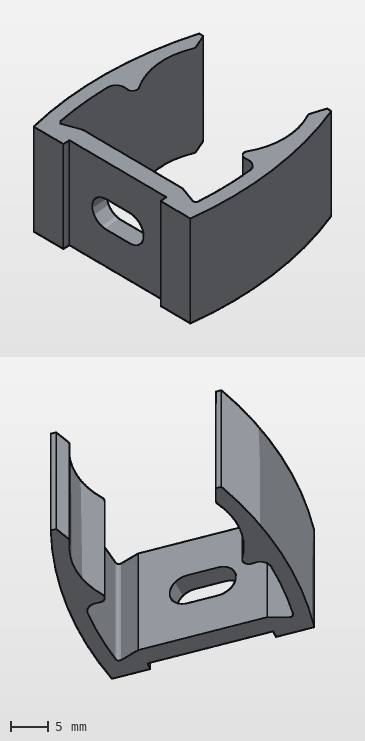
import cadquery as cq
import math

HEIGHT = 18.0
DEPTH = 30.0
HALF_WIDTH = 15.5

ARM_RADIUS = 59.0
ARM_CENTER_X = HALF_WIDTH - ARM_RADIUS
WIDEST_Y = 10.7
WALL = 2.3
INNER_RADIUS = ARM_RADIUS - WALL

RECESS_HALF_WIDTH = 9.0
RECESS_DEPTH = 1.15
FLOOR_Y = 4.05
FLOOR_HALF_WIDTH = 9.25
FLOOR_SLOPE = math.radians(20)
FLOOR_CORNER_RADIUS = 0.5

SEAT_RADIUS = 11.75
SEAT_Y = 22.0
BEAD_Y = 14.4
BEAD_RADIUS = 0.9
LEDGE_WALL_Y = 14.7
LEDGE_RADIUS = 1.6

TIP_INNER_X = 11.45
LIP_Y = 27.35
LIP_RADIUS = 0.7

SLOT_LENGTH = 9.5
SLOT_WIDTH = 5.2


def arc_x(radius, center_x, center_y, y):
    """X of the +X side of a circle at the given Y."""
    return center_x + math.sqrt(radius**2 - (y - center_y) ** 2)


def outer_point(y):
    """Point on the outer face of the +X arm."""
    return (arc_x(ARM_RADIUS, ARM_CENTER_X, WIDEST_Y, y), y)


def inner_point(y):
    """Point on the inner face of the +X arm."""
    return (arc_x(INNER_RADIUS, ARM_CENTER_X, WIDEST_Y, y), y)


def seat_point(y):
    """Point on the +X side of the tube seat."""
    return (arc_x(SEAT_RADIUS, 0, SEAT_Y, y), y)


def floor_corner():
    """Point where the sloping floor meets the arc of the inner wall."""
    start_x = FLOOR_HALF_WIDTH - ARM_CENTER_X
    start_y = FLOOR_Y - WIDEST_Y
    dir_x = math.cos(FLOOR_SLOPE)
    dir_y = -math.sin(FLOOR_SLOPE)
    along = start_x * dir_x + start_y * dir_y
    length = -along + math.sqrt(along**2 - start_x**2 - start_y**2 + INNER_RADIUS**2)
    return (FLOOR_HALF_WIDTH + length * dir_x, FLOOR_Y + length * dir_y)


def round_corner(body, corner, radius):
    """Fillet the vertical edge that stands on the given profile corner."""
    edge = cq.selectors.NearestToPointSelector((corner[0], corner[1], 0))
    return body.edges("|Z").edges(edge).fillet(radius)


def half_clip():
    """The +X half of the clip, with its inside corners rounded."""
    corner = floor_corner()
    ledge = inner_point(LEDGE_WALL_Y)
    bead = seat_point(BEAD_Y)
    lip = seat_point(LIP_Y)
    body = (
        cq.Workplane("XY")
        .workplane(offset=-HEIGHT / 2)
        .moveTo(0, RECESS_DEPTH)
        .lineTo(RECESS_HALF_WIDTH, RECESS_DEPTH)
        .lineTo(RECESS_HALF_WIDTH, 0)
        .lineTo(*outer_point(0))
        .threePointArc(outer_point(WIDEST_Y), outer_point(DEPTH))
        .lineTo(TIP_INNER_X, DEPTH)
        .lineTo(*lip)
        .threePointArc(seat_point(SEAT_Y), bead)
        .lineTo(*ledge)
        .threePointArc(inner_point((LEDGE_WALL_Y + corner[1]) / 2), corner)
        .lineTo(FLOOR_HALF_WIDTH, FLOOR_Y)
        .lineTo(0, FLOOR_Y)
        .close()
        .extrude(HEIGHT)
    )
    body = round_corner(body, corner, FLOOR_CORNER_RADIUS)
    body = round_corner(body, ledge, LEDGE_RADIUS)
    body = round_corner(body, bead, BEAD_RADIUS)
    return round_corner(body, lip, LIP_RADIUS)


def mounting_slot():
    """Round-ended cutter running through the base along Y."""
    return (
        cq.Workplane("XZ")
        .slot2D(SLOT_LENGTH, SLOT_WIDTH)
        .extrude(-FLOOR_Y)
    )


half = half_clip()
clip = half.union(half.mirror("YZ")).clean()
result = clip.cut(mounting_slot())